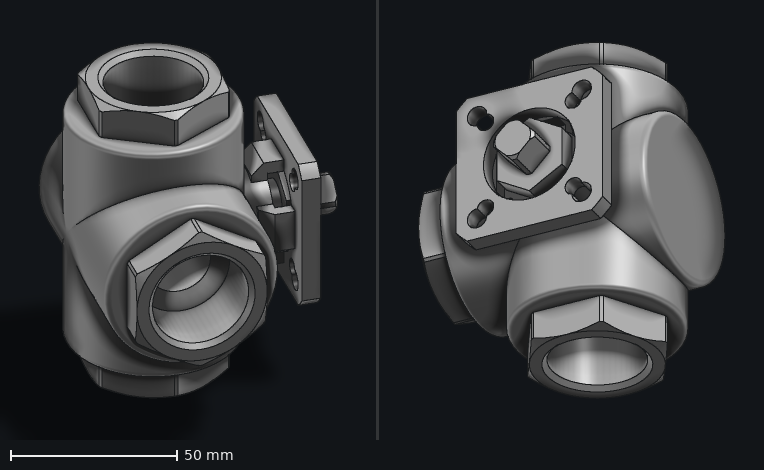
import cadquery as cq
import math

BODY_D = 54.7
BODY_EDGE_R = 2.0
BARREL_HALF_Z = 39.4
BARREL_X_CLOSED = -30.0
BARREL_X_OPEN = 40.0

PORT_FACE = 50.0
HEX_FLATS = 41.0
HEX_CORNER_D = 46.7
HEX_BEVEL_ANGLE = 30.0
THREAD_D = 30.29
THREAD_END_DEPTH = 21.0
MOUTH_D = 33.4
MOUTH_ANGLE = 45.0
BORE_D = 20.0
SEAT_LENGTH = 3.0

GLAND_D = 27.0
GLAND_TOP = 34.0
STEM_D = 14.0
STEM_SQUARE = 11.0
STEM_LENGTH_ABOVE_FLANGE = 11.0
STEM_BEVEL = 1.0

FLANGE_SIDE = 49.5
FLANGE_CORNER_D = 65.0
FLANGE_THICKNESS = 6.0
FLANGE_BOTTOM = 39.15
FLANGE_TOP = FLANGE_BOTTOM + FLANGE_THICKNESS
FLANGE_HOLES = ((50.0, 6.5), (42.0, 5.5))
FLANGE_OPENING_D = 31.0

NUT_FLATS = 22.0
NUT_DROP = 0.65

LEG_WIDTH = 13.0
LEG_OUTER = 18.0
LEG_INNER = 14.1
LEG_END = 28.85
LEG_BEVEL = 3.9

ORIGIN = (0, 0, 0)
X_AXIS = (1, 0, 0)
Y_AXIS = (0, 1, 0)


def hexagon_diameter(flats):
    """Corner-to-corner size of a hexagon from its width across flats."""
    return flats / math.cos(math.radians(30))


def across_y(height):
    """Plane square to the stem, with local x along X and local y along -Z."""
    return cq.Workplane(cq.Plane((0, height, 0), xDir=X_AXIS, normal=Y_AXIS))


def barrel(start, end):
    """Round barrel along Z with rounded end edges."""
    blank = cq.Workplane("XY", origin=(0, 0, start)).circle(BODY_D / 2).extrude(end - start)
    return blank.edges("%CIRCLE").fillet(BODY_EDGE_R)


def revolve_about_z(points):
    """Turn a closed (radius, height) outline about the Z axis."""
    return cq.Workplane("XZ").polyline(points).close().revolve(360, (0, 0), (0, 1))


def port_hexagon():
    """Bevelled hexagon reaching from the centre to the port face on +Z."""
    flat_r = HEX_FLATS / 2
    corner_r = HEX_CORNER_D / 2
    bevel_height = (corner_r - flat_r) * math.tan(math.radians(HEX_BEVEL_ANGLE))
    prism = cq.Workplane("XY").polygon(6, hexagon_diameter(HEX_FLATS)).extrude(PORT_FACE)
    envelope = revolve_about_z([
        (0, 0),
        (corner_r, 0),
        (corner_r, PORT_FACE - bevel_height),
        (flat_r, PORT_FACE),
        (0, PORT_FACE),
    ])
    return prism.intersect(envelope)


def port_cavity():
    """Mouth bevel, thread bore, tapered seat and bore of the port on +Z."""
    mouth_r = MOUTH_D / 2
    thread_r = THREAD_D / 2
    bore_r = BORE_D / 2
    mouth_depth = (mouth_r - thread_r) * math.tan(math.radians(MOUTH_ANGLE))
    thread_end = PORT_FACE - THREAD_END_DEPTH
    return revolve_about_z([
        (0, 0),
        (bore_r, 0),
        (bore_r, thread_end - SEAT_LENGTH),
        (thread_r, thread_end),
        (thread_r, PORT_FACE - mouth_depth),
        (mouth_r, PORT_FACE),
        (0, PORT_FACE),
    ])


def on_every_port(shape):
    """Copies of a +Z port shape on the +Z, -Z and +X ports."""
    upper = shape
    lower = shape.rotate(ORIGIN, X_AXIS, 180)
    side = shape.rotate(ORIGIN, Y_AXIS, 90)
    return upper, lower, side


def stem():
    """Round stem whose upper end is a square turned 45 degrees, corners left round."""
    shank = across_y(0).circle(STEM_D / 2).extrude(FLANGE_TOP)
    head_round = across_y(FLANGE_TOP).circle(STEM_D / 2).extrude(STEM_LENGTH_ABOVE_FLANGE)
    head_round = head_round.faces(">Y").chamfer(STEM_BEVEL)
    head_square = (
        across_y(FLANGE_TOP)
        .transformed(rotate=(0, 0, 45))
        .rect(STEM_SQUARE, STEM_SQUARE)
        .extrude(STEM_LENGTH_ABOVE_FLANGE)
    )
    return shank.union(head_round.intersect(head_square))


def flange():
    """Square mounting flange with trimmed corners, paired holes and a round opening."""
    plate = across_y(FLANGE_BOTTOM).rect(FLANGE_SIDE, FLANGE_SIDE).extrude(FLANGE_THICKNESS)
    disc = across_y(FLANGE_BOTTOM).circle(FLANGE_CORNER_D / 2).extrude(FLANGE_THICKNESS)
    plate = plate.intersect(disc)
    for bolt_circle, hole_d in FLANGE_HOLES:
        holes = (
            across_y(FLANGE_BOTTOM)
            .polarArray(bolt_circle / 2, 45, 360, 4)
            .circle(hole_d / 2)
            .extrude(FLANGE_THICKNESS)
        )
        plate = plate.cut(holes)
    opening = across_y(FLANGE_BOTTOM).circle(FLANGE_OPENING_D / 2).extrude(FLANGE_THICKNESS)
    return plate.cut(opening)


def stem_nut():
    """Hexagonal nut around the stem, with corners pointing along Z."""
    return (
        across_y(FLANGE_BOTTOM - NUT_DROP)
        .transformed(rotate=(0, 0, 90))
        .polygon(6, hexagon_diameter(NUT_FLATS))
        .extrude(FLANGE_THICKNESS + NUT_DROP)
    )


def legs():
    """Four hooked legs, one per side, reaching in under the gland top."""
    profile = [
        (LEG_OUTER, FLANGE_BOTTOM),
        (LEG_OUTER, LEG_END + LEG_BEVEL),
        (LEG_OUTER - LEG_BEVEL, LEG_END),
        (0, LEG_END),
        (0, GLAND_TOP),
        (LEG_INNER, GLAND_TOP),
        (LEG_INNER, FLANGE_BOTTOM),
    ]
    leg = cq.Workplane("XY").polyline(profile).close().extrude(LEG_WIDTH / 2, both=True)
    group = leg
    for turn in (90, 180, 270):
        group = group.union(leg.rotate(ORIGIN, Y_AXIS, turn))
    return group


barrel_z = barrel(-BARREL_HALF_Z, BARREL_HALF_Z)
barrel_x = barrel(BARREL_X_CLOSED, BARREL_X_OPEN).rotate(ORIGIN, Y_AXIS, 90)
gland = across_y(0).circle(GLAND_D / 2).extrude(GLAND_TOP)

result = barrel_z.union(barrel_x).union(gland)
for piece in (stem(), stem_nut(), legs(), flange()):
    result = result.union(piece)
for hexagon in on_every_port(port_hexagon()):
    result = result.union(hexagon)
for cavity in on_every_port(port_cavity()):
    result = result.cut(cavity)